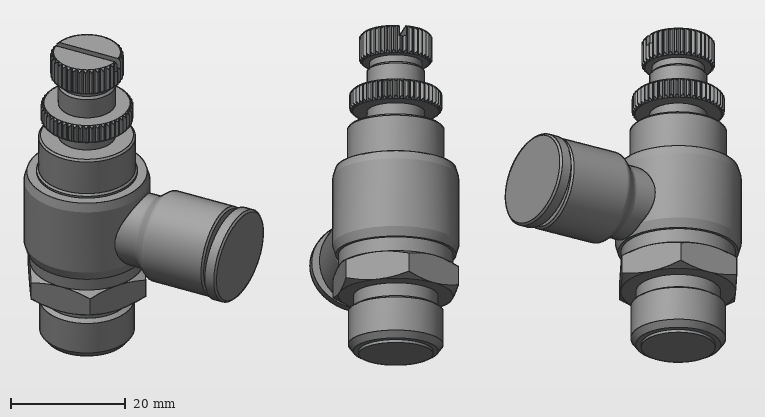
import cadquery as cq
import math

thread_top = 8.3
hex_bottom = 10.6
hex_top = 15.7
body_bottom = 18.2
body_top = 33.8
cap_top = 41.35
ring_bottom = 44.35
ring_top = 47.9
stem_top = 52.05
head_bottom = 53.3
total_height = 58.3

tip_radius = 6.5
tip_lip = 0.5
thread_radius = 8.3
undercut_radius = 7.4
thread_lead_in = 1.15
thread_run_out = 0.5

hex_across_flats = 20.0
hex_corner_drop = 0.9
hex_apothem = hex_across_flats / 2
hex_corner_radius = hex_apothem / math.cos(math.pi / 6)

body_diameter = 22.0
body_radius = body_diameter / 2
body_end_radius = 10.5
body_bevel_height = 1.65
cap_radius = 8.45
cap_foot_radius = 8.8
cap_foot_lip = 0.35
cap_foot_height = 0.7
cap_bevel = 0.35

stem_radius = 5.0
stem_neck_radius = 4.6
stem_bevel = stem_radius - stem_neck_radius

head_radius = 6.35
head_teeth = 36
ring_radius = 8.05
ring_teeth = 48
tooth_depth = 0.45
root_flat_share = 0.25
knurl_bevel = 0.5
slot_width = 1.2
slot_depth = 1.9

branch_height = 24.95
branch_neck_radius = 6.55
branch_radius = 8.15
flare_start = 13.0
flare_end = 15.1
flare_blend_radius = 1.05
branch_end = 26.95
branch_bevel = 0.35
tube_radius = 5.85
collar_start = 27.9
total_length = 41.55
collar_end = total_length - hex_corner_radius
collar_half_width = 9.25
collar_half_height = 8.05
collar_bevel = 0.35


def turned(profile):
    """Revolve a (radius, height) profile about the vertical axis, closing it along that axis."""
    outline = [(0, profile[0][1])] + profile + [(0, profile[-1][1])]
    return cq.Workplane("XZ").polyline(outline).close().revolve(360, (0, 0, 0), (0, 1, 0))


def bevelled_disc(radius, end_radius, bevel_height, bottom, top):
    """Disc whose rim is bevelled down to end_radius at both ends."""
    return turned([
        (end_radius, bottom),
        (radius, bottom + bevel_height),
        (radius, top - bevel_height),
        (end_radius, top),
    ])


def polar_point(radius, angle):
    """Point at the given radius and angle in the XY plane."""
    return (radius * math.cos(angle), radius * math.sin(angle))


def knurled_disc(outer_radius, teeth, bottom, top):
    """Disc with sharp teeth and narrow flat roots, bevelled at both ends to just below the roots."""
    root_radius = outer_radius - tooth_depth
    pitch_angle = 2 * math.pi / teeth
    half_root_angle = root_flat_share * pitch_angle / 2
    outline = []
    for i in range(teeth):
        root_angle = i * pitch_angle
        outline.append(polar_point(root_radius, root_angle - half_root_angle))
        outline.append(polar_point(root_radius, root_angle + half_root_angle))
        outline.append(polar_point(outer_radius, root_angle + pitch_angle / 2))
    toothed = cq.Workplane("XY").workplane(offset=bottom).polyline(outline).close().extrude(top - bottom)
    end_radius = outer_radius - knurl_bevel
    return toothed.intersect(bevelled_disc(outer_radius, end_radius, knurl_bevel, bottom, top))


def make_core():
    """All plain turned surfaces on the vertical axis, from the threaded tip to the stem neck."""
    return turned([
        (tip_radius, 0),
        (tip_radius, tip_lip),
        (undercut_radius, tip_lip),
        (thread_radius, tip_lip + thread_lead_in),
        (thread_radius, thread_top - thread_run_out),
        (undercut_radius, thread_top),
        (undercut_radius, hex_bottom),
        (hex_apothem, hex_bottom),
        (hex_apothem, body_bottom),
        (body_end_radius, body_bottom),
        (body_radius, body_bottom + body_bevel_height),
        (body_radius, body_top - body_bevel_height),
        (body_end_radius, body_top),
        (cap_foot_radius, body_top),
        (cap_foot_radius, body_top + cap_foot_lip),
        (cap_radius, body_top + cap_foot_height),
        (cap_radius, cap_top - cap_bevel),
        (cap_radius - cap_bevel, cap_top),
        (stem_radius, cap_top),
        (stem_radius, stem_top - stem_bevel),
        (stem_neck_radius, stem_top),
        (stem_neck_radius, head_bottom),
    ])


def make_hexagon():
    """Hexagon with corners on the X axis, its corners rounded off by a cone at both ends."""
    prism = (
        cq.Workplane("XY").workplane(offset=hex_bottom)
        .polygon(6, 2 * hex_corner_radius).extrude(hex_top - hex_bottom)
    )
    envelope = bevelled_disc(hex_corner_radius, hex_apothem, hex_corner_drop, hex_bottom, hex_top)
    return prism.intersect(envelope)


def make_head():
    """Knurled screw head with a screwdriver slot along X."""
    head = knurled_disc(head_radius, head_teeth, head_bottom, total_height)
    slot = (
        cq.Workplane("XY").workplane(offset=total_height - slot_depth)
        .rect(2 * head_radius, slot_width).extrude(slot_depth)
    )
    return head.cut(slot)


def make_branch():
    """Flared side branch along +X, ending in an oval release collar on a short tube."""
    flare = (
        cq.Workplane("XZ").polyline([
            (0, 0),
            (0, branch_neck_radius),
            (flare_start, branch_neck_radius),
            (flare_end, branch_radius),
            (branch_end, branch_radius),
            (branch_end, 0),
        ]).close().revolve(360, (0, 0, 0), (1, 0, 0))
        .faces("%CONE").edges("%CIRCLE").fillet(flare_blend_radius)
        .faces(">X").edges().chamfer(branch_bevel)
    )
    tube = cq.Workplane("YZ").circle(tube_radius).extrude(collar_start)
    collar = (
        cq.Workplane("YZ").workplane(offset=collar_start)
        .ellipse(collar_half_width, collar_half_height).extrude(collar_end - collar_start)
        .faces(">X").edges().chamfer(collar_bevel)
    )
    return flare.union(tube).union(collar).translate((0, 0, branch_height))


result = (
    make_core()
    .union(make_hexagon())
    .union(knurled_disc(ring_radius, ring_teeth, ring_bottom, ring_top))
    .union(make_head())
    .union(make_branch())
)